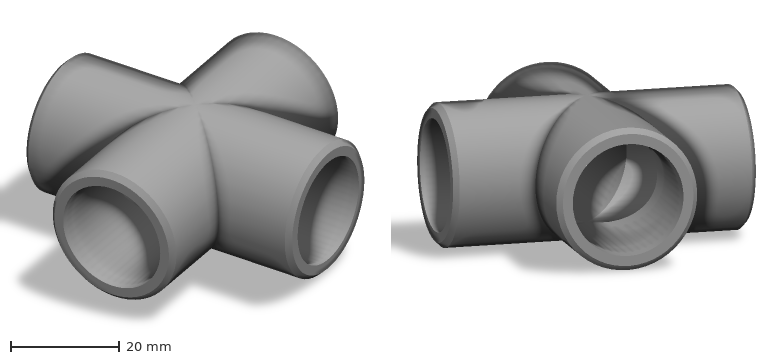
import cadquery as cq

length = 58.0
outer_diameter = 27.0
bore_diameter = 21.2
end_chamfer = 1.0

tube_planes = ("YZ", "XZ")


def centred_cylinder(plane, diameter):
    """Cylinder of full tube length, centred on the origin along the plane's normal."""
    return cq.Workplane(plane).circle(diameter / 2).extrude(length / 2, both=True)


def tube_blank(plane):
    """Solid tube blank with both end rims chamfered."""
    return centred_cylinder(plane, outer_diameter).faces("%PLANE").chamfer(end_chamfer)


result = cq.Workplane()
for tube_plane in tube_planes:
    result = result.add(tube_blank(tube_plane))
result = result.combine()

for tube_plane in tube_planes:
    result = result.cut(centred_cylinder(tube_plane, bore_diameter))